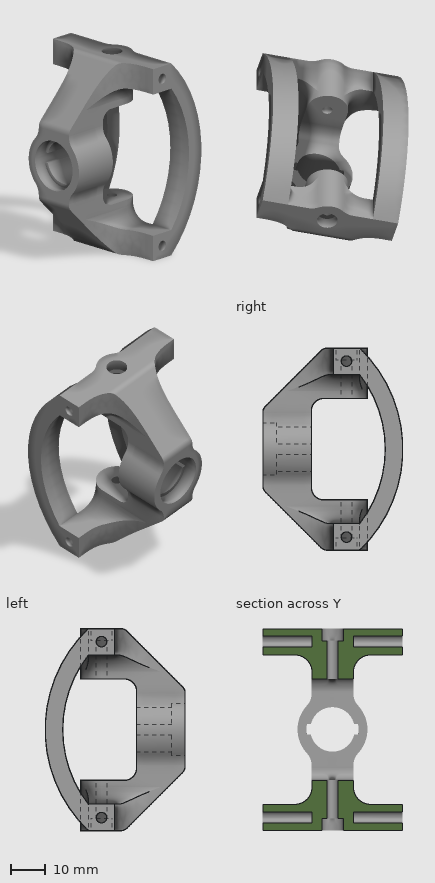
import cadquery as cq
import math

height = 58.0
width = 40.0
half_height = height / 2
half_width = width / 2

arm_depth = 7.5
arm_height = 7.65
pad_center_y = 24.0
arm_front_y = pad_center_y - arm_depth / 2
arm_back_y = pad_center_y + arm_depth / 2
arm_inner_z = half_height - arm_height

web_width = 12.0
web_half = web_width / 2
pad_inner_z = 14.5
pad_back_y = pad_center_y + web_half
slope_foot_z = 11.55
slope_round = 2.5
inner_corner_round = 3.5
blend_radius = 5.0
flare_radius = 4.8
flare_start_z = arm_inner_z - flare_radius

sweep_along_arm = 11.0
sweep_along_web = 13.35
sweep_arm_pull = 2.3
sweep_web_pull = 5.2

hub_length = 14.0
hub_radius = 10.05
bore_radius = 7.5
lip_radius = 6.4
lip_depth = 4.0
key_slot_width = 3.0

rail_width = 7.5
rail_outer_radius = 40.0
rail_inner_radius = 34.9
rail_center_y = 0.2

screw_diameter = 3.0
head_diameter = 6.0
head_depth = 3.5
arm_hole_inset = 3.75


def on_circle(center, radius, degrees):
    """Point on a circle at an angle measured from the first axis."""
    angle = math.radians(degrees)
    return center[0] + radius * math.cos(angle), center[1] + radius * math.sin(angle)


def along_y(length, sketch):
    """Extrude an XZ outline drawn by `sketch` from the front face towards +Y."""
    return sketch(cq.Workplane("XZ")).extrude(-length)


def side_block():
    """Upper half of the side outline in YZ, as wide as the part."""
    slope_top_y = half_height - slope_foot_z
    outline = [
        (0, 0),
        (0, slope_foot_z),
        (slope_top_y, half_height),
        (pad_back_y, half_height),
        (pad_back_y, pad_inner_z),
        (hub_length, pad_inner_z),
        (hub_length, 0),
    ]
    block = cq.Workplane("YZ").polyline(outline).close().extrude(half_width, both=True)
    for y, z in [(0, slope_foot_z), (slope_top_y, half_height)]:
        block = block.edges(cq.NearestToPointSelector((0, y, z))).fillet(slope_round)
    inner_corner = cq.NearestToPointSelector((0, hub_length, pad_inner_z))
    return block.edges(inner_corner).fillet(inner_corner_round)


def plan_block():
    """Outline of arm, web and pad in XY, as one half mirrored across X = 0."""
    sweep = [
        (web_half, arm_front_y - sweep_along_web),
        (web_half, arm_front_y - sweep_web_pull),
        (web_half + sweep_arm_pull, arm_front_y),
        (web_half + sweep_along_arm, arm_front_y),
    ]
    reach = web_half + blend_radius
    rise = arm_depth / 2 + blend_radius
    blend_center = (math.sqrt(reach**2 - rise**2), arm_back_y + blend_radius)
    pad_angle = math.degrees(math.atan2(rise, blend_center[0]))
    pad_center = (0, pad_center_y)
    half = (
        cq.Workplane("XY")
        .moveTo(0, 0)
        .lineTo(web_half, 0)
        .lineTo(*sweep[0])
        .bezier(sweep)
        .lineTo(half_width, arm_front_y)
        .lineTo(half_width, arm_back_y)
        .lineTo(blend_center[0], arm_back_y)
        .threePointArc(
            on_circle(blend_center, blend_radius, (pad_angle - 270) / 2),
            on_circle(pad_center, web_half, pad_angle),
        )
        .threePointArc(on_circle(pad_center, web_half, (pad_angle + 90) / 2), (0, pad_back_y))
        .close()
        .extrude(half_height)
    )
    return half.union(half.mirror("YZ"))


def flare_half(plane):
    """Half section above the web side: a concave round out into the arm underside."""
    round_center = (web_half + flare_radius, flare_start_z)
    return (
        plane.moveTo(0, flare_start_z)
        .lineTo(web_half, flare_start_z)
        .threePointArc(on_circle(round_center, flare_radius, 135), (round_center[0], arm_inner_z))
        .lineTo(width, arm_inner_z)
        .lineTo(width, height)
        .lineTo(0, height)
        .close()
    )


def web_flare():
    """Web with the flared section run straight above it, up to the pad axis."""
    right = along_y(pad_center_y, flare_half)
    web = cq.Workplane("XY").box(web_width, pad_center_y, flare_start_z, centered=(True, False, False))
    return web.union(right).union(right.mirror("YZ"))


def pad_flare():
    """Flared section turned half a revolution around the pad axis, on its +Y side."""
    plane = cq.Workplane("XZ", origin=(0, pad_center_y, 0))
    return flare_half(plane).revolve(180, (0, 0, 0), (0, 1, 0))


def upper_bracket():
    """Arm, web and pad above the mid-plane."""
    block = side_block().intersect(plan_block())
    pad_tip = (
        cq.Workplane("XY", origin=(0, pad_center_y, pad_inner_z))
        .circle(web_half)
        .extrude(flare_start_z - pad_inner_z)
    )
    return block.intersect(web_flare()).union(block.intersect(pad_flare())).union(pad_tip)


def hub():
    """Round hub with concave necks running into the webs."""
    reach = hub_radius + blend_radius
    neck_x = web_half + blend_radius
    neck_z = math.sqrt(reach**2 - neck_x**2)
    neck_angle = math.degrees(math.atan2(neck_z, neck_x))
    neck_tangent = on_circle((0, 0), hub_radius, neck_angle)
    neck_middle = on_circle((neck_x, neck_z), blend_radius, 180 + neck_angle / 2)

    def neck_outline(plane):
        return (
            plane.lineTo(*neck_tangent)
            .threePointArc(neck_middle, (web_half, neck_z))
            .lineTo(0, neck_z)
            .close()
        )

    body = along_y(hub_length, lambda plane: plane.circle(hub_radius))
    neck = along_y(hub_length, neck_outline)
    for piece in (neck, neck.mirror("YZ")):
        body = body.union(piece).union(piece.mirror("XY"))
    return body


def hub_bore():
    """Stepped bore with two key slots through its rear lip."""
    counterbore = along_y(lip_depth, lambda plane: plane.circle(bore_radius))
    through = along_y(hub_length, lambda plane: plane.circle(lip_radius))
    full_bore = along_y(hub_length, lambda plane: plane.circle(bore_radius))
    slots = along_y(hub_length, lambda plane: plane.rect(2 * bore_radius, key_slot_width))
    return counterbore.union(through).union(slots.intersect(full_bore))


def rails():
    """Two arched rails joining the ends of the upper and lower arms."""
    ring = (
        cq.Workplane("YZ")
        .center(rail_center_y, 0)
        .circle(rail_outer_radius)
        .circle(rail_inner_radius)
        .extrude(half_width, both=True)
    )
    rail_depth = rail_outer_radius + rail_center_y - pad_center_y
    pair = cq.Workplane("XY")
    for side in (-1, 1):
        window = cq.Workplane("XY").box(rail_width, rail_depth, height).translate(
            (side * (half_width - rail_width / 2), pad_center_y + rail_depth / 2, 0)
        )
        pair = pair.add(ring.intersect(window))
    return pair.combine()


def pad_hole():
    """Counterbored screw hole through the upper pad."""
    start = cq.Workplane("XY", origin=(0, pad_center_y, half_height))
    shank = start.circle(screw_diameter / 2).extrude(pad_inner_z - half_height)
    head = start.circle(head_diameter / 2).extrude(-head_depth)
    return shank.union(head)


def arm_hole():
    """Blind hole in the +X end of the upper arm, stopping on the cylinder of the pad."""
    start = cq.Workplane("YZ", origin=(half_width, pad_center_y, half_height - arm_hole_inset))
    bore = start.circle(screw_diameter / 2).extrude(-half_width)
    pad_core = cq.Workplane("XY").center(0, pad_center_y).circle(web_half).extrude(half_height)
    return bore.cut(pad_core)


bracket = upper_bracket()
result = bracket.union(bracket.mirror("XY")).union(hub()).union(rails()).cut(hub_bore())

for hole in (pad_hole(), arm_hole(), arm_hole().mirror("YZ")):
    result = result.cut(hole).cut(hole.mirror("XY"))